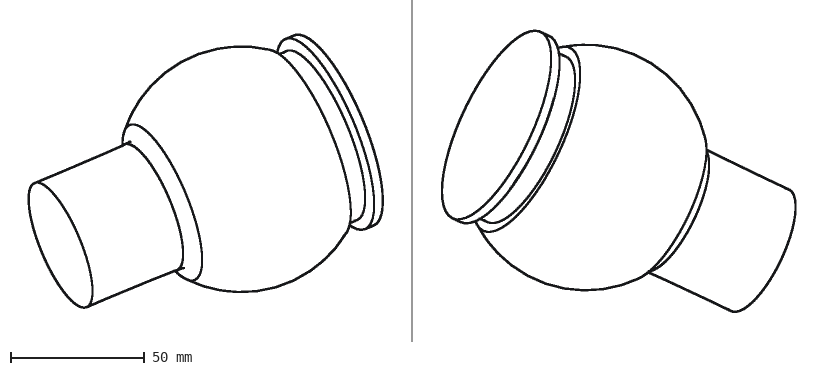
import cadquery as cq
import math

length = 116.3
ball_radius = 46.1
ball_station = 39.4

flange_radius = 38.6
flange_thickness = 3.7
flange_taper = 1.5
neck_radius = 34.3
neck_end = 13.3

shoulder_station = 73.0
stem_base_radius = 25.5
stem_tip_radius = 25.2
collar_radius = 25.6
collar_end = 77.9
root_fillet = 2.8


def ball_radius_at(station):
    """Radius of the ball's cross-section at an axial station."""
    return math.sqrt(ball_radius**2 - (station - ball_station) ** 2)


def point(radius, station):
    """Profile point, with the flange and stem ends equally far from the origin."""
    return (radius, length / 2 - station)


fillet_center_radius = collar_radius + root_fillet
fillet_center_station = shoulder_station + root_fillet
fillet_offset = root_fillet * math.sqrt(0.5)

profile = (
    cq.Workplane("XY")
    .moveTo(*point(0, 0))
    .lineTo(*point(flange_radius, 0))
    .lineTo(*point(flange_radius, flange_thickness))
    .lineTo(*point(neck_radius, flange_thickness + flange_taper))
    .lineTo(*point(neck_radius, neck_end))
    .lineTo(*point(ball_radius_at(neck_end), neck_end))
    .threePointArc(
        point(ball_radius, ball_station),
        point(ball_radius_at(shoulder_station), shoulder_station),
    )
    .lineTo(*point(fillet_center_radius, shoulder_station))
    .threePointArc(
        point(fillet_center_radius - fillet_offset, fillet_center_station - fillet_offset),
        point(collar_radius, fillet_center_station),
    )
    .lineTo(*point(collar_radius, collar_end))
    .lineTo(*point(stem_base_radius, collar_end))
    .lineTo(*point(stem_tip_radius, length))
    .lineTo(*point(0, length))
    .close()
)

result = profile.revolve(360, (0, 0, 0), (0, 1, 0))